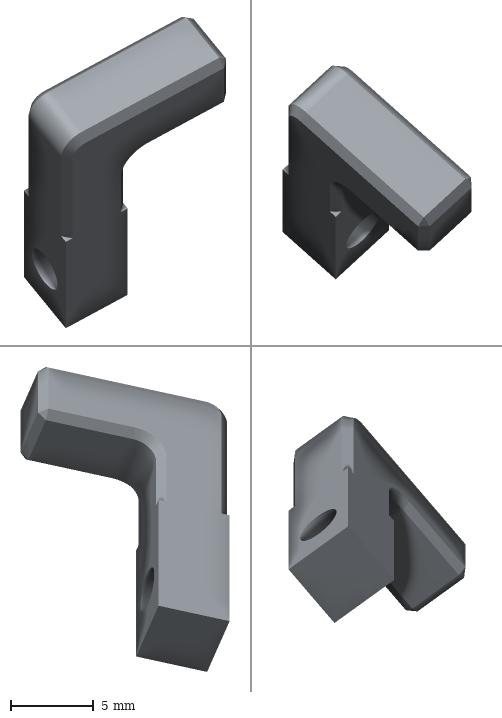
import cadquery as cq

width = 4.6
length = 12.0
height = 18.7

thickness = 4.5
bend_radius = 1.5
chamfer = 0.5
plain_height = 9.0

hole_diameter = 2.8
hole_height = 3.5


def plain_leg():
    """Sharp-edged lower part of the leg."""
    return cq.Workplane("XY").box(width, thickness, plain_height, centered=(True, False, False))


def chamfered_bend():
    """Upper part of the leg and the arm, chamfered all along its edges."""
    bend = (
        cq.Workplane("YZ")
        .moveTo(0, plain_height)
        .lineTo(thickness, plain_height)
        .lineTo(thickness, height - thickness - bend_radius)
        .radiusArc((thickness + bend_radius, height - thickness), bend_radius)
        .lineTo(length, height - thickness)
        .lineTo(length, height)
        .lineTo(bend_radius, height)
        .radiusArc((0, height - bend_radius), -bend_radius)
        .close()
        .extrude(width / 2, both=True)
    )
    return bend.faces("<X or >X or >Y").edges("not <Z").chamfer(chamfer)


def cross_hole():
    """Cutter for the hole through the leg along Y."""
    return (
        cq.Workplane("XZ", origin=(0, thickness, hole_height))
        .circle(hole_diameter / 2)
        .extrude(thickness)
    )


result = plain_leg().union(chamfered_bend()).cut(cross_hole())